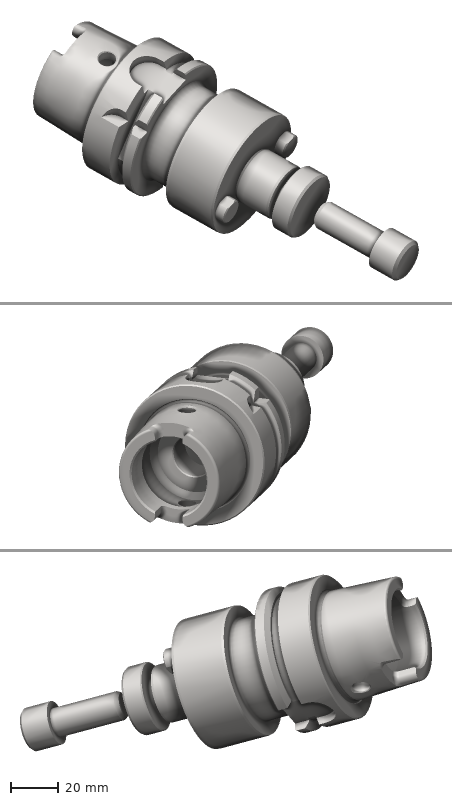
import cadquery as cq
import math


TAPER_LENGTH = 32.0
TAPER_REAR_RADIUS = 22.8
TAPER_RADIUS = 24.0
TAPER_EDGE_FILLET = 1.0
RELIEF_LENGTH = 2.2
RELIEF_DEPTH = 0.4
RELIEF_RAMP_LENGTH = 0.7
FACE_GROOVE_RADIUS = 25.1

FLANGE_RADIUS = 63.0 / 2
FLANGE_LENGTH = 26.0
FLANGE_END = TAPER_LENGTH + FLANGE_LENGTH
FLANGE_CHAMFER = 0.5
FLANGE_REAR_LENGTH = 14.7
GROOVE_START = TAPER_LENGTH + FLANGE_REAR_LENGTH
GROOVE_RADIUS = 27.5
GROOVE_REAR_WALL_LENGTH = 1.5
GROOVE_FRONT_BEVEL_LENGTH = 1.8
GROOVE_FRONT_BEVEL_DEPTH = 2.7
GROOVE_FLOOR_LENGTH = 3.5
GROOVE_FLOOR_START = GROOVE_START + GROOVE_REAR_WALL_LENGTH
GROOVE_FLOOR_END = GROOVE_FLOOR_START + GROOVE_FLOOR_LENGTH
GROOVE_END = GROOVE_FLOOR_END + GROOVE_FRONT_BEVEL_LENGTH

NECK_RADIUS = 22.5
NECK_REAR_FLARE = 1.5
NECK_REAR_FLARE_LENGTH = 2.7
NECK_FRONT_FILLET = 0.9
COLLAR_START = 73.8
COLLAR_END = 98.4
COLLAR_RADIUS = 28.5
SPIGOT_RADIUS = 25.3 / 2
SPIGOT_END = 115.8
SPIGOT_RELIEF_LENGTH = 1.3
SPIGOT_RELIEF_DEPTH = 0.5
LEAD_LENGTH = 1.0
LEAD_DEPTH = 0.2

BORE_RADIUS = 34.0 / 2
BORE_CHAMFER = 0.7
BORE_LENGTH = 13.5
CHAMBER_RADIUS = 18.7
CHAMBER_END = 27.8
CHAMBER_FLOOR_RADIUS = 16.0
BORE_FLOOR = 30.5
THREAD_RADIUS = 9.0
THREAD_CHAMFER = 0.45
THREAD_LENGTH = 14.4
THREAD_END = BORE_FLOOR + THREAD_LENGTH
COOLANT_RADIUS = 8.6 / 2

CROSS_HOLE_X = 22.8
CROSS_HOLE_DIAMETER = 7.5
CROSS_HOLE_SINK_DIAMETER = 9.0
CROSS_HOLE_SINK_DEPTH = 0.7

NOTCH_HALF_WIDTH = 6.3
NOTCH_LIP_HEIGHT = 20.8
NOTCH_LIP_RADIUS = 2.9
NOTCH_FLOOR_FILLET = 1.8
TOP_NOTCH_DEPTH = 6.0
BOTTOM_NOTCH_DEPTH = 9.9

SLOT_CENTER_X = 44.3
SLOT_FLOOR_HEIGHT = 26.5
TOP_SLOT_RADIUS = 8.0
BOTTOM_SLOT_RADIUS = 8.6
SIDE_SLOT_RADIUS = 7.2
SIDE_SLOT_WALL_Y = -19.7
SIDE_SLOT_FLOOR_HEIGHT = 19.5
FLAT_DISTANCE = 21.7
FLAT_ANGLE = 42.0

KEY_DIAMETER = 11.0
KEY_THICKNESS = 9.5
KEY_HEIGHT = 4.8
KEY_OFFSET = 21.5
KEY_CHAMFER = 0.5
KEY_BASE_CHAMFER = 0.4

DISC_START = 119.2
DISC_END = 128.7
DISC_RADIUS = 15.0
DISC_REAR_CHAMFER = 0.5
DISC_FRONT_CHAMFER = 1.0
DISC_FRONT_CHAMFER_DEPTH = 0.7
DISC_NECK_RADIUS = 6.5
DISC_NECK_FLARE = 1.6

SCREW_START = 134.5
SCREW_END = 179.5
SHANK_RADIUS = 12.7 / 2
SHANK_CHAMFER = 1.8
SHANK_CHAMFER_DEPTH = 1.0
HEAD_RADIUS = 19.0 / 2
HEAD_LENGTH = 13.3
HEAD_CHAMFER = 1.3

ALONG_AXIS = cq.Vector(1, 0, 0)


def turned(profile):
    """Revolve a closed (x, radius) outline about the X axis."""
    return profile.close().revolve(360, (0, 0, 0), (1, 0, 0))


def x_cylinder(radius, start, length):
    """Solid cylinder on the X axis."""
    return cq.Workplane("YZ", origin=(start, 0, 0)).circle(radius).extrude(length)


def holder_blank():
    """Outside of the tool holder, from the taper to the spigot."""
    relief_start = TAPER_LENGTH - RELIEF_LENGTH
    relief_radius = TAPER_RADIUS - RELIEF_DEPTH
    relief_arc_top = relief_radius + RELIEF_RAMP_LENGTH + RELIEF_DEPTH
    groove_rim = FLANGE_RADIUS - GROOVE_FRONT_BEVEL_DEPTH
    neck_flare_radius = (NECK_REAR_FLARE_LENGTH**2 + NECK_REAR_FLARE**2) / (2 * NECK_REAR_FLARE)
    spigot_relief_end = COLLAR_END + SPIGOT_RELIEF_LENGTH
    spigot_relief_radius = SPIGOT_RADIUS - SPIGOT_RELIEF_DEPTH
    fillet_mid = NECK_FRONT_FILLET * (1 - math.sqrt(0.5))
    profile = (
        cq.Workplane("XY")
        .moveTo(0, 0)
        .lineTo(0, TAPER_REAR_RADIUS - TAPER_EDGE_FILLET)
        .radiusArc((TAPER_EDGE_FILLET, TAPER_REAR_RADIUS), TAPER_EDGE_FILLET)
        .lineTo(relief_start, TAPER_RADIUS)
        .lineTo(relief_start + RELIEF_RAMP_LENGTH, relief_radius)
        .lineTo(TAPER_LENGTH - RELIEF_RAMP_LENGTH, relief_radius)
        .radiusArc((TAPER_LENGTH + RELIEF_DEPTH, relief_arc_top), -(RELIEF_RAMP_LENGTH + RELIEF_DEPTH))
        .lineTo(TAPER_LENGTH, FACE_GROOVE_RADIUS)
        .lineTo(TAPER_LENGTH, FLANGE_RADIUS - FLANGE_CHAMFER)
        .lineTo(TAPER_LENGTH + FLANGE_CHAMFER, FLANGE_RADIUS)
        .lineTo(GROOVE_START, FLANGE_RADIUS)
        .lineTo(GROOVE_FLOOR_START, GROOVE_RADIUS)
        .lineTo(GROOVE_FLOOR_END, GROOVE_RADIUS)
        .lineTo(GROOVE_FLOOR_END, groove_rim)
        .lineTo(GROOVE_END, FLANGE_RADIUS)
        .lineTo(FLANGE_END - FLANGE_CHAMFER, FLANGE_RADIUS)
        .lineTo(FLANGE_END, FLANGE_RADIUS - FLANGE_CHAMFER)
        .lineTo(FLANGE_END, NECK_RADIUS + NECK_REAR_FLARE)
        .radiusArc((FLANGE_END + NECK_REAR_FLARE_LENGTH, NECK_RADIUS), -neck_flare_radius)
        .lineTo(COLLAR_START - NECK_FRONT_FILLET, NECK_RADIUS)
        .threePointArc(
            (COLLAR_START - fillet_mid, NECK_RADIUS + fillet_mid),
            (COLLAR_START, NECK_RADIUS + NECK_FRONT_FILLET),
        )
        .lineTo(COLLAR_START, COLLAR_RADIUS - LEAD_DEPTH)
        .lineTo(COLLAR_START + LEAD_LENGTH, COLLAR_RADIUS)
        .lineTo(COLLAR_END - LEAD_LENGTH, COLLAR_RADIUS)
        .lineTo(COLLAR_END, COLLAR_RADIUS - LEAD_DEPTH)
        .lineTo(COLLAR_END, spigot_relief_radius)
        .lineTo(spigot_relief_end - SPIGOT_RELIEF_DEPTH, spigot_relief_radius)
        .lineTo(spigot_relief_end, SPIGOT_RADIUS)
        .lineTo(SPIGOT_END - LEAD_LENGTH, SPIGOT_RADIUS)
        .lineTo(SPIGOT_END, SPIGOT_RADIUS - LEAD_DEPTH)
        .lineTo(SPIGOT_END, 0)
    )
    return turned(profile)


def holder_bore():
    """Clamping bore, undercut chamber, threaded hole and coolant hole."""
    profile = (
        cq.Workplane("XY")
        .moveTo(0, 0)
        .lineTo(0, BORE_RADIUS + BORE_CHAMFER)
        .lineTo(BORE_CHAMFER, BORE_RADIUS)
        .lineTo(BORE_LENGTH, BORE_RADIUS)
        .lineTo(BORE_LENGTH, CHAMBER_RADIUS)
        .lineTo(CHAMBER_END, CHAMBER_RADIUS)
        .lineTo(BORE_FLOOR, CHAMBER_FLOOR_RADIUS)
        .lineTo(BORE_FLOOR, THREAD_RADIUS + THREAD_CHAMFER)
        .lineTo(BORE_FLOOR + THREAD_CHAMFER, THREAD_RADIUS)
        .lineTo(THREAD_END, THREAD_RADIUS)
        .lineTo(THREAD_END, COOLANT_RADIUS)
        .lineTo(SPIGOT_END, COOLANT_RADIUS)
        .lineTo(SPIGOT_END, 0)
    )
    return turned(profile)


def cross_hole():
    """Vertical hole through both taper walls, countersunk outside."""
    hole_radius = CROSS_HOLE_DIAMETER / 2
    sink_radius = CROSS_HOLE_SINK_DIAMETER / 2
    slope = (TAPER_RADIUS - TAPER_REAR_RADIUS) / (TAPER_LENGTH - RELIEF_LENGTH)
    wall_height = TAPER_REAR_RADIUS + slope * CROSS_HOLE_X
    sink_floor = wall_height - CROSS_HOLE_SINK_DEPTH
    half_profile = (
        cq.Workplane("XZ", origin=(CROSS_HOLE_X, 0, 0))
        .moveTo(0, 0)
        .lineTo(hole_radius, 0)
        .lineTo(hole_radius, sink_floor)
        .lineTo(sink_radius, wall_height)
        .lineTo(sink_radius, FLANGE_RADIUS)
        .lineTo(0, FLANGE_RADIUS)
        .close()
    )
    upper = half_profile.revolve(360, (0, 0, 0), (0, 1, 0))
    return upper.union(upper.mirror("XY"))


def drive_notch(depth):
    """Notch across the upper taper wall, with lips rounded outwards and a filleted floor."""
    lip_base = NOTCH_LIP_HEIGHT - NOTCH_LIP_RADIUS
    lip_edge = NOTCH_HALF_WIDTH + NOTCH_LIP_RADIUS
    outline = (
        cq.Workplane("YZ")
        .moveTo(-NOTCH_HALF_WIDTH, 0)
        .lineTo(NOTCH_HALF_WIDTH, 0)
        .lineTo(NOTCH_HALF_WIDTH, lip_base)
        .radiusArc((lip_edge, NOTCH_LIP_HEIGHT), NOTCH_LIP_RADIUS)
        .lineTo(FLANGE_RADIUS, NOTCH_LIP_HEIGHT)
        .lineTo(FLANGE_RADIUS, FLANGE_RADIUS)
        .lineTo(-FLANGE_RADIUS, FLANGE_RADIUS)
        .lineTo(-FLANGE_RADIUS, NOTCH_LIP_HEIGHT)
        .lineTo(-lip_edge, NOTCH_LIP_HEIGHT)
        .radiusArc((-NOTCH_HALF_WIDTH, lip_base), NOTCH_LIP_RADIUS)
        .close()
    )
    cutter = outline.extrude(depth)
    return cutter.faces(">X").edges("not(#Y or |Y)").fillet(NOTCH_FLOOR_FILLET)


def round_end_slot(radius, center_y, floor_height):
    """Vertical slot with a round rear end, open through the flange front."""
    height = FLANGE_RADIUS - floor_height
    floor = cq.Workplane("XY", origin=(SLOT_CENTER_X, center_y, floor_height))
    run_out = FLANGE_END - SLOT_CENTER_X
    round_end = floor.circle(radius).extrude(height)
    straight = floor.center(run_out / 2, 0).rect(run_out, 2 * radius).extrude(height)
    return straight.union(round_end)


def groove_flat():
    """Flat across the floor of the gripper groove, facing up and towards -Y."""
    depth = FLANGE_RADIUS - FLAT_DISTANCE
    block = cq.Workplane("XY").box(
        GROOVE_FLOOR_LENGTH, 2 * FLANGE_RADIUS, depth, centered=(False, True, False)
    )
    return block.translate((GROOVE_FLOOR_START, 0, FLAT_DISTANCE)).rotate(
        cq.Vector(), ALONG_AXIS, 90 - FLAT_ANGLE
    )


def make_holder():
    """Tool holder: hollow taper, gripper flange, neck, collar and spigot."""
    body = holder_blank().cut(holder_bore()).cut(cross_hole())
    body = body.cut(drive_notch(TOP_NOTCH_DEPTH))
    body = body.cut(drive_notch(BOTTOM_NOTCH_DEPTH).mirror("XY"))
    body = body.cut(round_end_slot(TOP_SLOT_RADIUS, 0, SLOT_FLOOR_HEIGHT))
    body = body.cut(round_end_slot(BOTTOM_SLOT_RADIUS, 0, SLOT_FLOOR_HEIGHT).mirror("XY"))
    side_slot_y = SIDE_SLOT_WALL_Y - SIDE_SLOT_RADIUS
    body = body.cut(round_end_slot(SIDE_SLOT_RADIUS, side_slot_y, SIDE_SLOT_FLOOR_HEIGHT))
    return body.cut(groove_flat())


def make_key(side):
    """Round drive key with two flats, standing on the collar face at Y = side * KEY_OFFSET."""
    stud = x_cylinder(KEY_DIAMETER / 2, COLLAR_END, KEY_HEIGHT)
    stud = stud.faces(">X").chamfer(KEY_CHAMFER).faces("<X").chamfer(KEY_BASE_CHAMFER)
    slab = cq.Workplane("XY").box(2 * (COLLAR_END + KEY_HEIGHT), KEY_DIAMETER, KEY_THICKNESS)
    return stud.intersect(slab).translate((0, side * KEY_OFFSET, 0))


def make_disc():
    """Retaining disc whose flared neck meets the spigot end."""
    flare_mid = DISC_NECK_FLARE * (1 - math.sqrt(0.5))
    profile = (
        cq.Workplane("XY")
        .moveTo(SPIGOT_END, 0)
        .lineTo(SPIGOT_END, DISC_NECK_RADIUS)
        .lineTo(DISC_START - DISC_NECK_FLARE, DISC_NECK_RADIUS)
        .threePointArc(
            (DISC_START - flare_mid, DISC_NECK_RADIUS + flare_mid),
            (DISC_START, DISC_NECK_RADIUS + DISC_NECK_FLARE),
        )
        .lineTo(DISC_START, DISC_RADIUS - DISC_REAR_CHAMFER)
        .lineTo(DISC_START + DISC_REAR_CHAMFER, DISC_RADIUS)
        .lineTo(DISC_END - DISC_FRONT_CHAMFER, DISC_RADIUS)
        .lineTo(DISC_END, DISC_RADIUS - DISC_FRONT_CHAMFER_DEPTH)
        .lineTo(DISC_END, 0)
    )
    return turned(profile)


def make_screw():
    """Cap screw with a chamfered tip and head."""
    head_start = SCREW_END - HEAD_LENGTH
    profile = (
        cq.Workplane("XY")
        .moveTo(SCREW_START, 0)
        .lineTo(SCREW_START, SHANK_RADIUS - SHANK_CHAMFER_DEPTH)
        .lineTo(SCREW_START + SHANK_CHAMFER, SHANK_RADIUS)
        .lineTo(head_start, SHANK_RADIUS)
        .lineTo(head_start, HEAD_RADIUS)
        .lineTo(SCREW_END - HEAD_CHAMFER, HEAD_RADIUS)
        .lineTo(SCREW_END, HEAD_RADIUS - HEAD_CHAMFER)
        .lineTo(SCREW_END, 0)
    )
    return turned(profile)


holder = make_holder()
keys = [make_key(side) for side in (1, -1)]
disc = make_disc()
screw = make_screw()

result = cq.Compound.makeCompound(
    [holder.val(), *[key.val() for key in keys], disc.val(), screw.val()]
)